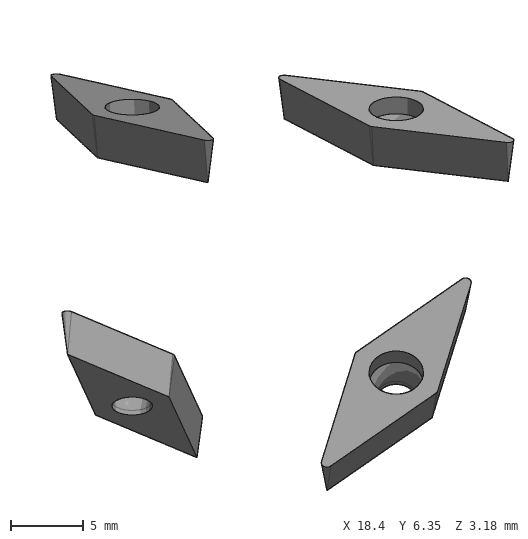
import cadquery as cq
import math

inscribed_circle = 6.35
thickness = 3.18
point_angle = math.radians(35)
relief_angle = 7
corner_radius = 0.4

bore_diameter = 2.8
recess_diameter = 3.76
recess_depth = 1.29
seat_radius = 2.7

half_width = inscribed_circle / 2
half_side = half_width / math.sin(point_angle)
corner_shift = half_width / math.tan(point_angle)
acute_corner_x = corner_shift + half_side
obtuse_corner_x = half_side - corner_shift


def make_body():
    """Rhombus that narrows downward, its corner cones almost sharp at the bottom."""
    corners = [
        (acute_corner_x, half_width),
        (-obtuse_corner_x, half_width),
        (-acute_corner_x, -half_width),
        (obtuse_corner_x, -half_width),
    ]
    outline = cq.Sketch().polygon(corners + corners[:1]).vertices().fillet(corner_radius)
    return (
        cq.Workplane("XY", origin=(0, 0, thickness))
        .placeSketch(outline)
        .extrude(-thickness, taper=relief_angle)
    )


def make_hole():
    """Cutter for the hole, turned about Z."""
    bore_radius = bore_diameter / 2
    recess_radius = recess_diameter / 2
    seat_top = thickness - recess_depth
    arc_center_x = bore_radius + seat_radius
    seat_angle = math.acos((arc_center_x - recess_radius) / seat_radius)
    seat_bottom = seat_top - seat_radius * math.sin(seat_angle)
    mid_x = arc_center_x - seat_radius * math.cos(seat_angle / 2)
    mid_z = seat_bottom + seat_radius * math.sin(seat_angle / 2)
    return (
        cq.Workplane("XZ")
        .moveTo(0, 0)
        .lineTo(bore_radius, 0)
        .lineTo(bore_radius, seat_bottom)
        .threePointArc((mid_x, mid_z), (recess_radius, seat_top))
        .lineTo(recess_radius, thickness)
        .lineTo(0, thickness)
        .close()
        .revolve(360, (0, 0, 0), (0, 1, 0))
    )


result = make_body().cut(make_hole())